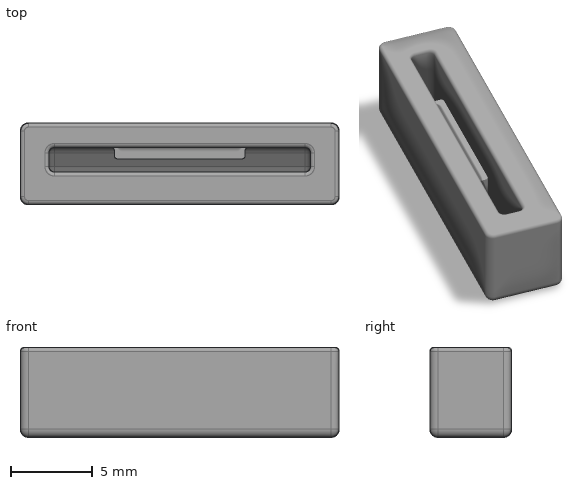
import cadquery as cq

length = 19.5
width = 5.0
height = 5.5
side_radius = 0.5
bottom_radius = 0.5
top_radius = 0.25

pocket_length = 16.0
pocket_width = 1.5
pocket_center_y = 0.25
pocket_depth = 4.5
pocket_radius = 0.35
mouth_radius = 0.25

tongue_length = 8.0
tongue_reach = 0.7
tongue_drop = 0.6
tongue_corner_radius = 0.2
tongue_root_radius = 0.2

pocket_floor_z = height - pocket_depth
pocket_back_y = pocket_center_y + pocket_width / 2
tongue_front_y = pocket_back_y - tongue_reach
tongue_top_z = height - tongue_drop


def make_block():
    block = cq.Workplane("XY").box(length, width, height, centered=(True, True, False))
    block = block.edges("|Z").fillet(side_radius)
    block = block.faces("<Z").edges().fillet(bottom_radius)
    return block.faces(">Z").edges().fillet(top_radius)


def make_pocket():
    """Pocket volume with rounded corners and a rounded floor edge."""
    pocket = (
        cq.Workplane("XY", origin=(0, pocket_center_y, pocket_floor_z))
        .box(pocket_length, pocket_width, pocket_depth, centered=(True, True, False))
        .edges("|Z or <Z")
        .fillet(pocket_radius)
    )
    return pocket


def cut_pocket(block):
    """Sink the pocket and round over the edge of its mouth."""
    block = block.cut(make_pocket())
    mouth_point = (0, pocket_back_y, height)
    return block.edges(cq.selectors.NearestToPointSelector(mouth_point)).fillet(mouth_radius)


def make_tongue():
    """Tongue with rounded front corners and concave roots blending into the pocket wall."""
    half = tongue_length / 2
    root = tongue_root_radius
    corner = tongue_corner_radius
    wall_y = pocket_back_y
    embed_y = wall_y + pocket_radius
    front_y = tongue_front_y
    return (
        cq.Workplane("XY", origin=(0, 0, pocket_floor_z))
        .moveTo(-half - root, embed_y)
        .lineTo(-half - root, wall_y)
        .radiusArc((-half, wall_y - root), root)
        .lineTo(-half, front_y + corner)
        .radiusArc((-half + corner, front_y), -corner)
        .lineTo(half - corner, front_y)
        .radiusArc((half, front_y + corner), -corner)
        .lineTo(half, wall_y - root)
        .radiusArc((half + root, wall_y), root)
        .lineTo(half + root, embed_y)
        .close()
        .extrude(tongue_top_z - pocket_floor_z)
    )


result = cut_pocket(make_block()).union(make_tongue())